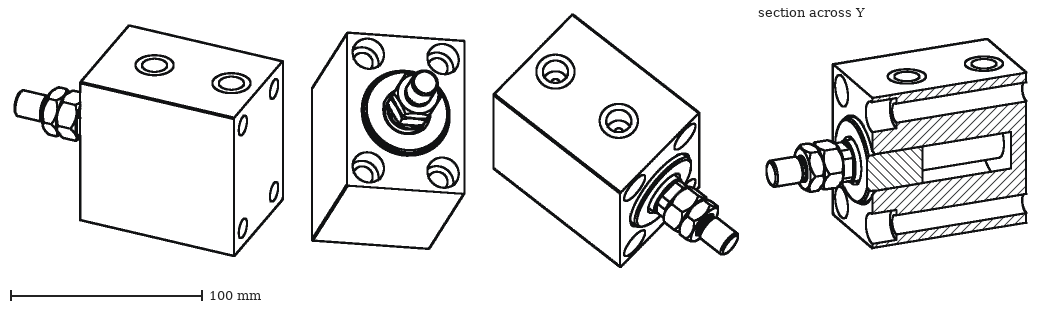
import cadquery as cq
import math


OVERALL_LENGTH = 137
ADAPTER_THREAD_LENGTH = 18.0
FRONT_HEX_LENGTH = 8.1
REAR_HEX_LENGTH = 11.0
NECK_LENGTH = 6.0
COLLAR_LENGTH = 3.0
GLAND_PROTRUSION = 3.0
rear_hex_x = ADAPTER_THREAD_LENGTH + FRONT_HEX_LENGTH
neck_x = rear_hex_x + REAR_HEX_LENGTH
collar_x = neck_x + NECK_LENGTH
gland_x = collar_x + COLLAR_LENGTH
housing_x = gland_x + GLAND_PROTRUSION

HOUSING_WIDTH = 63
HOUSING_HEIGHT = 85
HOUSING_EDGE_CHAMFER = 0.5
housing_length = OVERALL_LENGTH - housing_x

MOUNT_SPACING_Y = 40.0
MOUNT_SPACING_Z = 63
MOUNT_HOLE_DIAMETER = 10.5
MOUNT_COUNTERBORE_DIAMETER = 16.7
MOUNT_COUNTERBORE_DEPTH = 13.7

FIRST_PORT_OFFSET = 28.5
PORT_SPACING = 44.0
PORT_SPOTFACE_DIAMETER = 20.0
PORT_SPOTFACE_DEPTH = 0.07
PORT_DIAMETER = 13.2
PORT_DEPTH = 12.3
PORT_DRILL_DIAMETER = 4.1
first_port_x = housing_x + FIRST_PORT_OFFSET
second_port_x = first_port_x + PORT_SPACING

GLAND_DIAMETER = 45.0
GLAND_CHAMFER = 1.0
GLAND_DEPTH = 28.9
WIPER_RECESS_DIAMETER = 25.3
WIPER_RECESS_DEPTH = 3.0
gland_end_x = housing_x + GLAND_DEPTH

BORE_MOUTH_CHAMFER = 1.1
bore_end_x = second_port_x + PORT_DIAMETER / 2

ROD_DIAMETER = 22.0
ROD_CHAMFER = 0.5
NECK_FLATS = 18.0
NECK_TIP_CHAMFER = 0.4
neck_diameter = ROD_DIAMETER - 2 * ROD_CHAMFER

THREAD_DIAMETER = 14.0
THREAD_TIP_CHAMFER = 1.0
UNDERCUT_DEPTH = 0.8
UNDERCUT_LENGTH = 3.0
HEX_FLATS = 22.0
HEX_FACE_DIAMETER = 21.6
hex_corner_diameter = HEX_FLATS / math.cos(math.pi / 6)


def cylinder(diameter, start_x, end_x):
    """Solid cylinder on the rod axis."""
    return cq.Workplane("YZ", origin=(start_x, 0, 0)).circle(diameter / 2).extrude(end_x - start_x)


def cylinder_down(diameter, x, top_z, bottom_z):
    """Solid vertical cylinder in the middle plane of the housing."""
    return cq.Workplane("XY", origin=(x, 0, bottom_z)).circle(diameter / 2).extrude(top_z - bottom_z)


def revolve_profile(points):
    """Turn a closed (x, radius) outline about the rod axis."""
    return cq.Workplane("XY").polyline(points).close().revolve(360, (0, 0, 0), (1, 0, 0))


def cut_mounting_holes(block):
    """Four through holes with counterbores in the front face."""
    return (
        block.faces("<X")
        .workplane(origin=(housing_x, 0, 0))
        .rect(MOUNT_SPACING_Y, MOUNT_SPACING_Z, forConstruction=True)
        .vertices()
        .cboreHole(MOUNT_HOLE_DIAMETER, MOUNT_COUNTERBORE_DIAMETER, MOUNT_COUNTERBORE_DEPTH)
    )


def cut_bore(block):
    """Blind cylinder bore with a chamfered mouth."""
    bore_radius = GLAND_DIAMETER / 2
    return block.cut(
        revolve_profile(
            [
                (housing_x, 0),
                (housing_x, bore_radius + BORE_MOUTH_CHAMFER),
                (housing_x + BORE_MOUTH_CHAMFER, bore_radius),
                (bore_end_x, bore_radius),
                (bore_end_x, 0),
            ]
        )
    )


def cut_port(block, x):
    """Spotfaced port whose small drilling opens into the bore."""
    top_z = HOUSING_HEIGHT / 2
    spotface = cylinder_down(PORT_SPOTFACE_DIAMETER, x, top_z, top_z - PORT_SPOTFACE_DEPTH)
    port = cylinder_down(PORT_DIAMETER, x, top_z, top_z - PORT_DEPTH)
    drilling = cylinder_down(PORT_DRILL_DIAMETER, x, top_z, 0)
    return block.cut(spotface).cut(port).cut(drilling)


def make_housing():
    block = (
        cq.Workplane("XY", origin=(housing_x + housing_length / 2, 0, 0))
        .box(housing_length, HOUSING_WIDTH, HOUSING_HEIGHT)
        .edges("|X")
        .chamfer(HOUSING_EDGE_CHAMFER)
    )
    block = cut_bore(cut_mounting_holes(block))
    for port_x in (first_port_x, second_port_x):
        block = cut_port(block, port_x)
    return block


def make_gland():
    """Guide bush with a wiper recess around the rod."""
    bush = cylinder(GLAND_DIAMETER, gland_x, gland_end_x).faces("<X").chamfer(GLAND_CHAMFER)
    rod_hole = cylinder(ROD_DIAMETER, gland_x, gland_end_x)
    wiper_recess = cylinder(WIPER_RECESS_DIAMETER, gland_x, gland_x + WIPER_RECESS_DEPTH)
    return bush.cut(rod_hole).cut(wiper_recess)


def make_rod():
    """Round rod with a neck that has four wrench flats."""
    shaft = cylinder(ROD_DIAMETER, collar_x, bore_end_x).faces("<X").chamfer(ROD_CHAMFER)
    neck = cylinder(neck_diameter, neck_x, collar_x).faces("<X").chamfer(NECK_TIP_CHAMFER)
    flats = cq.Workplane("YZ", origin=(neck_x, 0, 0)).rect(NECK_FLATS, NECK_FLATS).extrude(NECK_LENGTH)
    return shaft.union(neck.intersect(flats))


def make_hex(start_x, length):
    """Hexagon with flats at top and bottom and its corners turned off at 45 degrees at both ends."""
    prism = (
        cq.Workplane("YZ", origin=(start_x, 0, 0)).polygon(6, hex_corner_diameter).extrude(length)
    )
    corner_chamfer = (hex_corner_diameter - HEX_FACE_DIAMETER) / 2
    turned_blank = (
        cylinder(hex_corner_diameter, start_x, start_x + length).faces("<X or >X").chamfer(corner_chamfer)
    )
    return prism.intersect(turned_blank)


def make_adapter():
    """Threaded stub with an undercut behind its thread, carried on two hexagons."""
    thread_radius = THREAD_DIAMETER / 2
    undercut_radius = thread_radius - UNDERCUT_DEPTH
    undercut_x = ADAPTER_THREAD_LENGTH - UNDERCUT_LENGTH
    stub = revolve_profile(
        [
            (0, 0),
            (0, thread_radius - THREAD_TIP_CHAMFER),
            (THREAD_TIP_CHAMFER, thread_radius),
            (undercut_x, thread_radius),
            (undercut_x + UNDERCUT_DEPTH, undercut_radius),
            (ADAPTER_THREAD_LENGTH - UNDERCUT_DEPTH, undercut_radius),
            (ADAPTER_THREAD_LENGTH, thread_radius),
            (ADAPTER_THREAD_LENGTH, 0),
        ]
    )
    front_hex = make_hex(ADAPTER_THREAD_LENGTH, FRONT_HEX_LENGTH)
    rear_hex = make_hex(rear_hex_x, REAR_HEX_LENGTH)
    return stub.union(front_hex).union(rear_hex)


housing = make_housing()
gland = make_gland()
rod = make_rod()
adapter = make_adapter()

bodies = [housing, gland, rod, adapter]
result = cq.Compound.makeCompound([body.solids().val() for body in bodies])